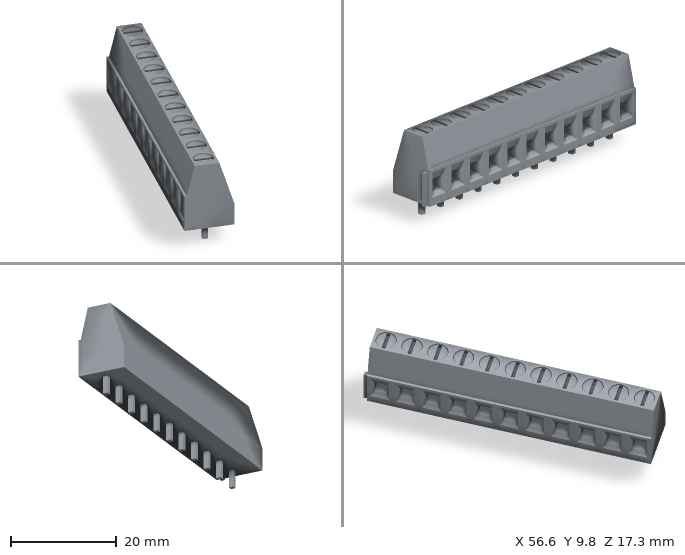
import cadquery as cq


pole_count = 11
pitch = 5.08
pole_centers = [(index + 0.5) * pitch for index in range(pole_count)]

body_length = pole_count * pitch
body_depth = 9.8
body_height = 13.8
ledge_depth = 0.5
ledge_height = 7.5
back_wall_height = 4.5
top_front_y = 2.0
top_back_y = 6.85

rib_projection = 0.74
rib_height = 7.0
rib_front_y = ledge_depth
rib_outer_width = 0.85
rib_neck_width = 0.5

mouth_width = 3.6
mouth_bottom_z = 1.67
mouth_top_z = 6.87
mouth_depth = 0.8
pocket_size = 2.6
pocket_bottom_z = 2.5
pocket_depth = 4.0

screw_y = (top_front_y + top_back_y) / 2
screw_hole_diameter = 4.0
screw_diameter = 3.8
screw_hole_depth = 2.0
screw_recess = 0.2
slot_width = 0.75
slot_depth = 0.8

pin_width = 0.9
pin_thickness = 1.0
pin_length = 3.5
pin_y = 4.65


def make_housing():
    """Extrude the housing cross-section along X."""
    profile = [
        (0, 0),
        (body_depth, 0),
        (body_depth, back_wall_height),
        (top_back_y, body_height),
        (top_front_y, body_height),
        (ledge_depth, ledge_height),
        (0, ledge_height),
    ]
    return cq.Workplane("YZ").polyline(profile).close().extrude(body_length)


def make_rib():
    """Vertical dovetail rib, narrow where it meets the housing."""
    rib_back_y = rib_front_y + rib_outer_width
    neck_inset = (rib_outer_width - rib_neck_width) / 2
    profile = [
        (-rib_projection, rib_front_y),
        (0, rib_front_y + neck_inset),
        (0, rib_back_y - neck_inset),
        (-rib_projection, rib_back_y),
    ]
    return cq.Workplane("XY").polyline(profile).close().extrude(rib_height)


def make_wire_entry(center_x):
    """Cutter for one wire entry: tapered mouth plus square pocket behind it."""
    mouth_center_z = (mouth_bottom_z + mouth_top_z) / 2
    pocket_center_z = pocket_bottom_z + pocket_size / 2
    mouth = (
        cq.Workplane("XZ", origin=(center_x, 0, mouth_center_z))
        .rect(mouth_width, mouth_top_z - mouth_bottom_z)
        .workplane(offset=-mouth_depth)
        .center(0, pocket_center_z - mouth_center_z)
        .rect(pocket_size, pocket_size)
        .loft(ruled=True)
    )
    pocket = (
        cq.Workplane("XZ", origin=(center_x, mouth_depth, pocket_center_z))
        .rect(pocket_size, pocket_size)
        .extrude(-pocket_depth)
    )
    return mouth.union(pocket)


def make_screw_hole(center_x):
    """Cutter for one screw clearance hole, open at the top."""
    hole = cq.Workplane("XY", origin=(center_x, screw_y, body_height - screw_hole_depth))
    return hole.circle(screw_hole_diameter / 2).extrude(screw_hole_depth)


def make_screw(center_x):
    """Slotted screw head standing on the floor of its hole."""
    head_height = screw_hole_depth - screw_recess
    head = (
        cq.Workplane("XY", origin=(center_x, screw_y, body_height - screw_hole_depth))
        .circle(screw_diameter / 2)
        .extrude(head_height)
    )
    slot = (
        cq.Workplane("XY", origin=(center_x, screw_y, body_height - screw_recess))
        .rect(slot_width, screw_diameter)
        .extrude(-slot_depth)
    )
    return head.cut(slot)


def make_pin(center_x):
    """Rectangular solder pin below the housing."""
    pin = cq.Workplane("XY", origin=(center_x, pin_y, 0))
    return pin.rect(pin_width, pin_thickness).extrude(-pin_length)


result = make_housing().union(make_rib())
for pole_x in pole_centers:
    result = result.cut(make_wire_entry(pole_x))
    result = result.cut(make_screw_hole(pole_x))
    result = result.union(make_screw(pole_x))
    result = result.union(make_pin(pole_x))